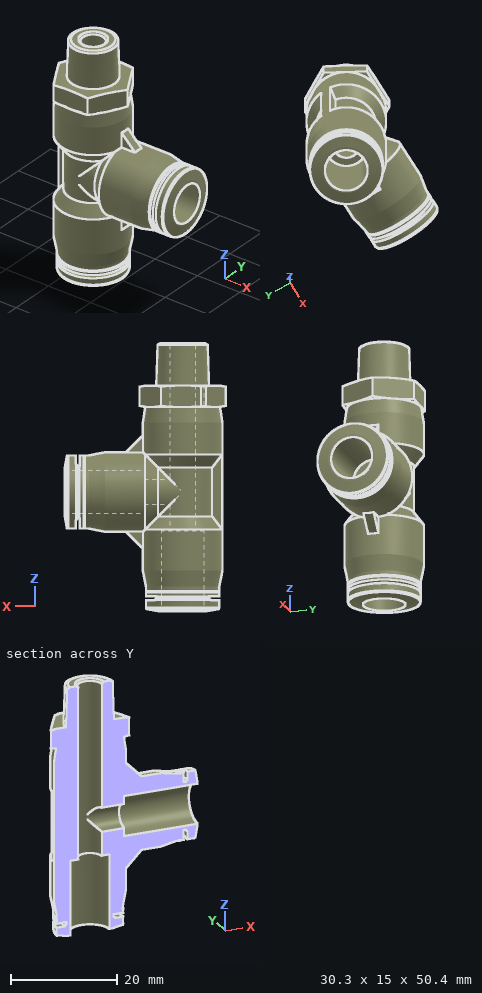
import cadquery as cq
import math


body_radius = 7.5
waist_radius = 5.65
waist_half_length = 4.6
shoulder = 7.05

run_port_reach = 22.45
branch_port_reach = 22.2
port_taper_length = 3.0
port_tip_radius = 6.9
port_tip_length = 1.75
ring_groove_width = 0.25
ring_groove_depth = 0.1
ring_groove_offset = 0.7
collar_gap = 0.7
collar_neck_radius = 4.9
collar_neck_flare = 0.4
collar_length = 2.1
collar_crown_height = 0.4
collar_edge_chamfer_height = 0.3
collar_edge_chamfer_depth = 0.1
collar_crown_radius = 4.55

bore_diameter = 4.8
bore_chamfer = 0.4
tube_socket_diameter = 8.0
tube_socket_depth = 15.1

nut_bottom = 16.0
nut_height = 4.05
nut_across_flats = 14.05
nut_chamfer_radius = nut_across_flats / 2
nut_chamfer_height = 0.2
nut_corner_flat_leg = 0.65
body_top_radius = 7.05
body_top_taper_start = 13.05
thread_top = 27.95
thread_base_radius = 5.0
thread_tip_radius = 4.75
thread_chamfer_height = 0.3
thread_chamfer_depth = 0.55

rib_width = 2.0
gusset_leg = 3.1


def revolve_profile(points):
    """Solid turned about Z from an outline of (radius, height) points."""
    return cq.Workplane("XZ").polyline(points).close().revolve(360, (0, 0, 0), (0, 1, 0))


def port(reach):
    """Push-in port along +Z, from the crossing to the end of its release collar."""
    collar_start = reach - collar_length
    crown_start = reach - collar_crown_height
    tip_face = collar_start - collar_gap
    taper_end = tip_face - port_tip_length
    groove_end = tip_face - ring_groove_offset
    groove_start = groove_end - ring_groove_width
    groove_radius = port_tip_radius - ring_groove_depth
    return revolve_profile([
        (0, 0),
        (waist_radius, 0),
        (waist_radius, waist_half_length),
        (body_radius, shoulder),
        (body_radius, taper_end - port_taper_length),
        (port_tip_radius, taper_end),
        (port_tip_radius, groove_start),
        (groove_radius, groove_start),
        (groove_radius, groove_end),
        (port_tip_radius, groove_end),
        (port_tip_radius, tip_face),
        (collar_neck_radius, tip_face),
        (collar_neck_radius, collar_start - collar_neck_flare),
        (collar_neck_radius + collar_neck_flare, collar_start),
        (port_tip_radius, collar_start),
        (port_tip_radius, crown_start - collar_edge_chamfer_height),
        (port_tip_radius - collar_edge_chamfer_depth, crown_start),
        (collar_crown_radius, reach),
        (0, reach),
    ])


def port_bore(reach):
    """Flow bore and tube socket of a port along +Z."""
    bore = cq.Workplane("XY").circle(bore_diameter / 2).extrude(reach)
    socket = (
        cq.Workplane("XY")
        .workplane(offset=reach - tube_socket_depth)
        .circle(tube_socket_diameter / 2)
        .extrude(tube_socket_depth)
    )
    return bore.union(socket)


def to_run(shape):
    return shape.rotate((0, 0, 0), (1, 0, 0), 180)


def to_branch(shape):
    return shape.rotate((0, 0, 0), (0, 1, 0), 90)


def upper_body():
    return revolve_profile([
        (0, 0),
        (waist_radius, 0),
        (waist_radius, waist_half_length),
        (body_radius, shoulder),
        (body_radius, body_top_taper_start),
        (body_top_radius, nut_bottom),
        (0, nut_bottom),
    ])


def hex_nut():
    """Chamfered hexagon with a small flat on its -X, +Y corner."""
    corner_radius = nut_across_flats / 2 / math.cos(math.pi / 6)
    nut_top = nut_bottom + nut_height
    prism = (
        cq.Workplane("XY")
        .workplane(offset=nut_bottom)
        .polygon(6, 2 * corner_radius)
        .extrude(nut_height)
        .edges("|Z")
        .edges(">(-1, 1.732, 0)")
        .chamfer(nut_corner_flat_leg)
    )
    chamfer_envelope = revolve_profile([
        (0, nut_bottom),
        (nut_chamfer_radius, nut_bottom),
        (corner_radius, nut_bottom + nut_chamfer_height),
        (corner_radius, nut_top - nut_chamfer_height),
        (nut_chamfer_radius, nut_top),
        (0, nut_top),
    ])
    return prism.intersect(chamfer_envelope)


def taper_thread():
    thread_bottom = nut_bottom + nut_height
    return revolve_profile([
        (0, thread_bottom),
        (thread_base_radius, thread_bottom),
        (thread_tip_radius, thread_top - thread_chamfer_height),
        (thread_tip_radius - thread_chamfer_depth, thread_top),
        (0, thread_top),
    ])


def male_bore():
    """Bore through the male end, with a chamfered mouth."""
    bore_radius = bore_diameter / 2
    return revolve_profile([
        (0, 0),
        (bore_radius, 0),
        (bore_radius, thread_top - bore_chamfer),
        (bore_radius + bore_chamfer, thread_top),
        (0, thread_top),
    ])


def ribs():
    """Back rib across the waist and a gusset above and below the branch."""
    gusset_tip = body_radius + gusset_leg
    body_cylinder = cq.Workplane("XY").circle(body_radius).extrude(shoulder, both=True)
    back_rib = (
        cq.Workplane("XY")
        .box(body_radius, rib_width, 2 * shoulder)
        .translate((-body_radius / 2, 0, 0))
        .intersect(body_cylinder)
    )
    gussets = (
        cq.Workplane("XZ")
        .polyline([(0, gusset_tip), (body_radius, gusset_tip), (gusset_tip, body_radius),
                   (gusset_tip, -body_radius), (body_radius, -gusset_tip), (0, -gusset_tip)])
        .close()
        .extrude(rib_width / 2, both=True)
    )
    return back_rib.union(gussets)


solid = (
    upper_body()
    .union(to_run(port(run_port_reach)))
    .union(to_branch(port(branch_port_reach)))
    .union(ribs())
    .union(hex_nut())
    .union(taper_thread())
)
result = (
    solid
    .cut(male_bore())
    .cut(to_run(port_bore(run_port_reach)))
    .cut(to_branch(port_bore(branch_port_reach)))
)